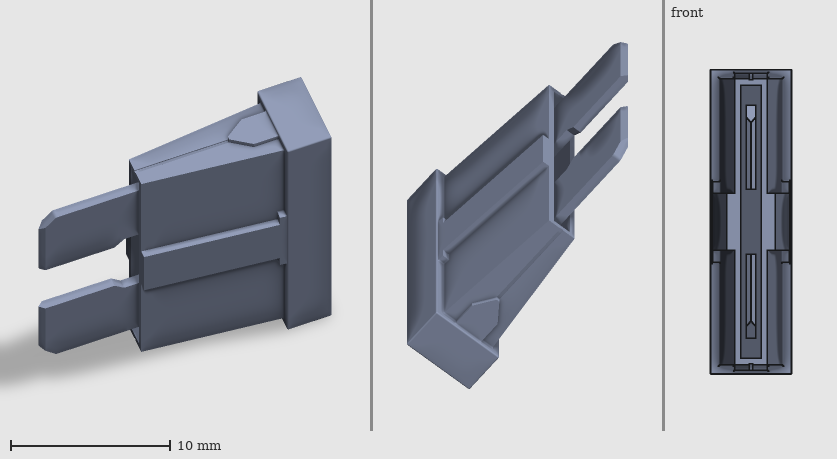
import cadquery as cq
CAP_WIDTH = 5.1
CAP_DEPTH = 3.0
CAP_HEIGHT = 19.1
CAP_EDGE_RADIUS = 0.1
ROOT_RADIUS = 0.1

BODY_LENGTH = 9.28
BODY_ROOT_WIDTH = 3.93
BODY_END_WIDTH = 2.06
BODY_HEIGHT = 17.95

RIB_THICKNESS = 0.48
RIB_HEIGHT = 3.55
RIB_ROOT_WIDTH = BODY_ROOT_WIDTH + 2 * RIB_THICKNESS
RIB_END_WIDTH = BODY_END_WIDTH + 2 * RIB_THICKNESS
FOOT_DEPTH = 0.45
FOOT_HEIGHT = 5.05

ARROW_WIDTH = BODY_END_WIDTH
ARROW_TIP_WIDTH = 0.23
ARROW_THICKNESS = 0.32
ARROW_HEIGHT = BODY_HEIGHT + 2 * ARROW_THICKNESS
ARROW_SHOULDER = 1.66
ARROW_LENGTH = 2.96
GROOVE_DEPTH = 0.08

CAVITY_WIDTH = 1.3
CAVITY_HEIGHT = 17.11
CAVITY_DEPTH = BODY_LENGTH

BLADE_THICKNESS = 0.61
BLADE_TIP_Y = -15.8
BLADE_OUTER_Z = 7.3
BLADE_INNER_Z = 2.05
BLADE_SHANK_INNER_Z = 2.6
BLADE_RAMP_START_Y = -10.15
BLADE_RAMP_END_Y = -10.8
BLADE_CORNER_CHAMFER = 1.05
BLADE_CORNER_RADIUS = 0.27
BLADE_TIP_BEVEL = 0.32
BLADE_TIP_FLAT = 0.05

TOLERANCE = 0.0002


def tapered_block(root_width, end_width, length, height):
    """Block centred on X and Z that narrows in X from Y = 0 toward -Y."""
    outline = [
        (-root_width / 2, 0),
        (root_width / 2, 0),
        (end_width / 2, -length),
        (-end_width / 2, -length),
    ]
    return cq.Workplane("XY").polyline(outline).close().extrude(height / 2, both=True)


def make_cap():
    cap = cq.Workplane("XY").box(CAP_WIDTH, CAP_DEPTH, CAP_HEIGHT)
    return cap.edges().fillet(CAP_EDGE_RADIUS).translate((0, CAP_DEPTH / 2, 0))


def make_arrows():
    """Arrow-shaped pads on the top and bottom of the body, pointing toward the blades."""
    outline = [
        (-ARROW_WIDTH / 2, 0),
        (ARROW_WIDTH / 2, 0),
        (ARROW_WIDTH / 2, -ARROW_SHOULDER),
        (ARROW_TIP_WIDTH / 2, -ARROW_LENGTH),
        (-ARROW_TIP_WIDTH / 2, -ARROW_LENGTH),
        (-ARROW_WIDTH / 2, -ARROW_SHOULDER),
    ]
    return cq.Workplane("XY").polyline(outline).close().extrude(ARROW_HEIGHT / 2, both=True)


def make_ribs():
    """Raised band around mid-height of both flanks, with a taller foot against the cap."""
    band = tapered_block(RIB_ROOT_WIDTH, RIB_END_WIDTH, BODY_LENGTH, RIB_HEIGHT)
    flank_slope = (RIB_ROOT_WIDTH - RIB_END_WIDTH) / 2 / BODY_LENGTH
    foot_half_width = RIB_ROOT_WIDTH / 2 - flank_slope * FOOT_DEPTH
    foot_outline = [
        (-RIB_ROOT_WIDTH / 2, 0),
        (RIB_ROOT_WIDTH / 2, 0),
        (foot_half_width, -FOOT_DEPTH),
        (0, flank_slope * foot_half_width - FOOT_DEPTH),
        (-foot_half_width, -FOOT_DEPTH),
    ]
    foot = cq.Workplane("XY").polyline(foot_outline).close().extrude(FOOT_HEIGHT / 2, both=True)
    return band.union(foot)


def is_root_edge(edge):
    """True where the body, feet and arrows meet the cap; the outer rib faces stay sharp."""
    center = edge.Center()
    on_cap_face = edge.BoundingBox().ymin > -TOLERANCE and center.y < TOLERANCE
    inside_rib_faces = abs(center.x) < RIB_ROOT_WIDTH / 2 - TOLERANCE
    inside_arrow_faces = abs(center.z) < ARROW_HEIGHT / 2 + TOLERANCE
    return on_cap_face and inside_rib_faces and inside_arrow_faces


def is_foot_edge(edge):
    """True where the front and the upper or lower end of a foot meet the body flank."""
    box = edge.BoundingBox()
    on_flank = max(-box.xmin, box.xmax) < BODY_ROOT_WIDTH / 2 + TOLERANCE
    beside_foot = -FOOT_DEPTH < box.ymin < -TOLERANCE
    beyond_rib = RIB_HEIGHT / 2 < abs(edge.Center().z) < FOOT_HEIGHT / 2 + TOLERANCE
    return on_flank and beside_foot and beyond_rib


def make_housing():
    body = tapered_block(BODY_ROOT_WIDTH, BODY_END_WIDTH, BODY_LENGTH, BODY_HEIGHT)
    housing = make_cap().union(body).union(make_ribs()).union(make_arrows())
    root_edges = [edge for edge in housing.edges().vals() if is_root_edge(edge) or is_foot_edge(edge)]
    housing = housing.newObject(root_edges).fillet(ROOT_RADIUS)
    cavity = cq.Workplane("XY").box(CAVITY_WIDTH, CAVITY_DEPTH, CAVITY_HEIGHT)
    housing = housing.cut(cavity.translate((0, CAVITY_DEPTH / 2 - BODY_LENGTH, 0)))
    groove_length = BODY_LENGTH - ARROW_LENGTH
    groove = cq.Workplane("XY").box(ARROW_TIP_WIDTH, groove_length, 2 * GROOVE_DEPTH)
    for side in (1, -1):
        y = -ARROW_LENGTH - groove_length / 2
        housing = housing.cut(groove.translate((0, y, side * BODY_HEIGHT / 2)))
    return housing


def make_blade():
    """Upper blade, seated on the cavity floor."""
    seat_y = CAVITY_DEPTH - BODY_LENGTH
    side_outline = [
        (seat_y, BLADE_OUTER_Z),
        (BLADE_TIP_Y, BLADE_OUTER_Z),
        (BLADE_TIP_Y, BLADE_INNER_Z),
        (BLADE_RAMP_END_Y, BLADE_INNER_Z),
        (BLADE_RAMP_START_Y, BLADE_SHANK_INNER_Z),
        (seat_y, BLADE_SHANK_INNER_Z),
    ]
    half = BLADE_THICKNESS / 2
    plate = cq.Workplane("YZ").polyline(side_outline).close().extrude(half, both=True)
    plate = plate.edges("|X and <Y and >Z").chamfer(BLADE_CORNER_CHAMFER)
    plate = plate.edges(cq.selectors.NearestToPointSelector(
        (0, BLADE_TIP_Y + BLADE_CORNER_CHAMFER, BLADE_OUTER_Z))).fillet(BLADE_CORNER_RADIUS)
    bevel_y = BLADE_TIP_Y + BLADE_TIP_BEVEL
    tip_outline = [
        (-half, seat_y),
        (half, seat_y),
        (half, bevel_y),
        (BLADE_TIP_FLAT / 2, BLADE_TIP_Y),
        (-BLADE_TIP_FLAT / 2, BLADE_TIP_Y),
        (-half, bevel_y),
    ]
    tip_shape = cq.Workplane("XY").polyline(tip_outline).close().extrude(BLADE_OUTER_Z)
    return plate.intersect(tip_shape)


housing = make_housing()
upper_blade = make_blade()
blades = [upper_blade, upper_blade.mirror("XY")]

result = cq.Compound.makeCompound([housing.val()] + [blade.val() for blade in blades])